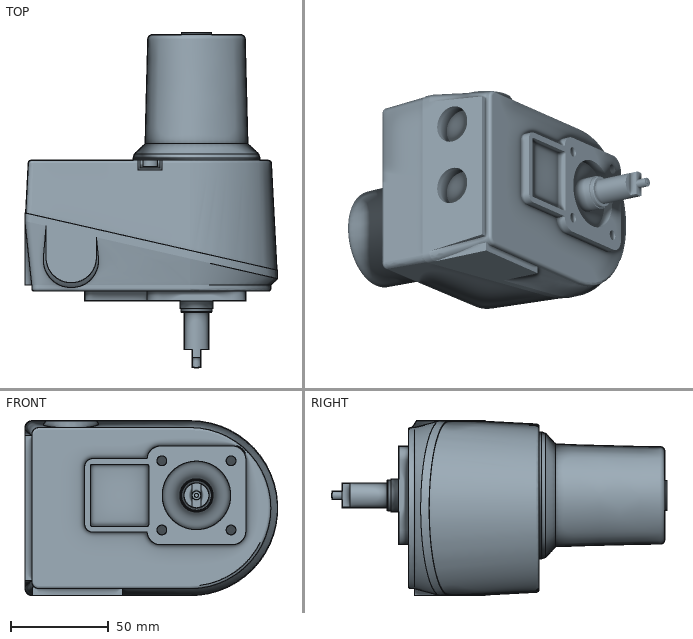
import cadquery as cq
import math


mid_z = -6.5
round_x = -3.17
half_height = 44.67
left_x = -87.6
corner_radius = 3.8

joint_y = 20.0
joint_slope = 12.8
band_depth = 4.3
joint_ledge = 0.3

rim_depth = 3.1
rim_inset = 3.51
rim_round = 1.4

cover_top = 66.9
cover_draft = 3
cover_round = 1.7
cover_corner = 2.7

plate_depth = 5.0
plate_size = 50.4
plate_corner = 6.9
plate_edge = 0.5
plate_hole_pitch = 35.3
plate_hole_diameter = 5.0
plate_hole_depth = 8.5
recess_diameter = 35.0
recess_depth = 5.0
arm_left = -57.1
arm_height = 37.5
arm_corner = 4.1
pocket_wall = 3.0
pocket_right = -24.3
pocket_corner = 1.0
pocket_floor_round = 0.9
pocket_depth = 4.5

entry_diameter = 18.7
entry_y = 21.6
entry_mid_z = 2.5
entry_pitch = 33.0
entry_depth = 8.5
entry_pad_half_top = 37.0
entry_pad_half_joint = 40.5
entry_pad_depth = 6.9

tongue_pad_x = -64.0
tongue_pad_y = 17.1
tongue_pad_radius = 12.9
tongue_pad_flare = 35
tongue_pad_depth = 4.3
lower_pad_left = -83.8
lower_pad_right = -37.7

notch_x = -23.7
notch_width = 12.2
notch_length = 5.0
notch_depth = 2.0
notch_step = 1.0
inner_notch_length = 4.1
inner_notch_depth = 4.3
screw_head_diameter = 7.5
screw_head_length = 3.3
screw_head_sink = 4.6

knob_flange_diameter = 64.8
knob_flange_edge = 68.0
knob_flange_top = 70.1
knob_flange_top_radius = 31.7
knob_cone_top = 75.3
knob_barrel_bottom = 77.3
knob_foot_radius = 26.2
knob_top_radius = 24.9
knob_top = 131.0
knob_round = 2.4
knob_disc_diameter = 15.5

collar_diameter = 17.0
collar_step_diameter = 16.0
collar_step_y = -8.7
collar_end = -10.8
collar_chamfer = 0.3
shaft_diameter = 12.7
shaft_end = -29.8
tongue_thickness = 4.5
tongue_end = -33.8
pin_diameter = 4.5
pin_end = -39.0
tip_diameter = 2.0

tip_end = -39.3
overall_length = 171.5
disc_top = tip_end + overall_length


def plane_at(y):
    """Sketch plane at the given Y: local x is X, local y is Z, and extrusion runs toward -Y."""
    return cq.Workplane("XZ", origin=(0, y, 0))


def cylinder_y(diameter, start_y, end_y, x=0, z=0):
    return plane_at(start_y).center(x, z).circle(diameter / 2).extrude(start_y - end_y)


def draw_outline(y, left, half_left, half_round, tip, corner):
    """Housing outline: rounded left corners, two straight sides and a round right end."""
    bevel = corner * (1 - math.sqrt(0.5))
    top = mid_z + half_left
    bottom = mid_z - half_left
    return (
        plane_at(y)
        .moveTo(left + corner, top)
        .lineTo(round_x, mid_z + half_round)
        .threePointArc((tip, mid_z), (round_x, mid_z - half_round))
        .lineTo(left + corner, bottom)
        .threePointArc((left + bevel, bottom + bevel), (left, bottom + corner))
        .lineTo(left, top - corner)
        .threePointArc((left + bevel, top - bevel), (left + corner, top))
        .close()
    )


def joint_height(x):
    """Y of the slanted joint at the given X."""
    return joint_y - x * math.tan(math.radians(joint_slope))


def behind_joint(shift=0.0):
    """Large block filling everything behind the slanted joint plane moved by shift along Y."""
    reach = 171.5
    return (
        cq.Workplane("XY", origin=(0, 0, mid_z))
        .moveTo(-reach, joint_height(-reach) + shift)
        .lineTo(reach, joint_height(reach) + shift)
        .lineTo(reach, 2 * reach)
        .lineTo(-reach, 2 * reach)
        .close()
        .extrude(reach / 2, both=True)
    )


def make_base():
    """Base: straight band below the joint, tapered wall, then a rounded front rim."""
    rear_y = joint_height(left_x)
    outline = draw_outline(rear_y, left_x, half_height, half_height, round_x + half_height, corner_radius)
    prism = outline.extrude(rear_y + band_depth)
    band = prism.cut(behind_joint()).intersect(behind_joint(-band_depth))
    angle = math.radians(joint_slope)
    joint_normal = cq.Vector(math.sin(angle), math.cos(angle), 0)
    band_front = cq.selectors.DirectionMinMaxSelector(joint_normal, False)
    band_wire = band.faces(band_front).val().outerWire()

    rim_half = half_height - rim_inset
    rim = draw_outline(rim_depth, left_x + rim_inset, rim_half, rim_half,
                       round_x + rim_half, corner_radius)
    taper = cq.Workplane(cq.Solid.makeLoft([band_wire, rim.val()], True))
    rim_solid = rim.extrude(rim_depth).faces("<Y").edges().fillet(rim_round)
    return band.union(taper).union(rim_solid)


def make_cover():
    """Cover whose walls draft inward from the slanted joint."""
    draft = math.tan(math.radians(cover_draft))
    joint_half = half_height - joint_ledge
    left = left_x + joint_ledge
    tip = round_x + joint_half

    def cover_outline(y, corner):
        def inset(x):
            return (y - joint_height(x)) * draft

        half_left = joint_half - inset(left)
        half_round = joint_half - inset(round_x)
        return draw_outline(y, left + inset(left), half_left, half_round, tip - inset(tip), corner).val()

    front = cover_outline(0, corner_radius)
    rear = cover_outline(cover_top, cover_corner)
    block = cq.Workplane(cq.Solid.makeLoft([front, rear], True))
    block = block.faces(">Y").edges().fillet(cover_round)
    return block.intersect(behind_joint())


def make_knob():
    foot_radius = knob_flange_diameter / 2
    body = (
        cq.Workplane("XY")
        .moveTo(0, cover_top)
        .lineTo(foot_radius, cover_top)
        .lineTo(foot_radius, knob_flange_edge)
        .lineTo(knob_flange_top_radius, knob_flange_top)
        .lineTo(knob_foot_radius, knob_cone_top)
        .lineTo(knob_foot_radius, knob_barrel_bottom)
        .lineTo(knob_top_radius, knob_top)
        .lineTo(0, knob_top)
        .close()
        .revolve(360, (0, 0, 0), (0, 1, 0))
        .faces(">Y").edges().fillet(knob_round)
    )
    return body.union(cylinder_y(knob_disc_diameter, disc_top, knob_top))


def make_plate():
    square = plane_at(0).rect(plate_size, plate_size).extrude(plate_depth).edges("|Y").fillet(plate_corner)
    arm = (
        plane_at(0).center(arm_left / 2, 0).rect(-arm_left, arm_height).extrude(plate_depth)
        .edges("|Y and <X").fillet(arm_corner)
    )
    plate = square.union(arm)
    foot = plate.faces(">Y").wires().toPending().offset2D(plate_edge).extrude(-plate_edge, taper=45)
    return plate.faces("<Y").edges().fillet(plate_edge).union(foot)


def make_pocket():
    left = arm_left + pocket_wall
    return (
        plane_at(-plate_depth + pocket_depth)
        .center((left + pocket_right) / 2, 0)
        .rect(pocket_right - left, arm_height - 2 * pocket_wall)
        .extrude(pocket_depth)
        .edges("|Y").fillet(pocket_corner)
        .faces(">Y").edges().fillet(pocket_floor_round)
    )


def make_plate_holes():
    return (
        plane_at(-plate_depth + plate_hole_depth)
        .rect(plate_hole_pitch, plate_hole_pitch, forConstruction=True)
        .vertices()
        .circle(plate_hole_diameter / 2)
        .extrude(plate_hole_depth)
    )


def make_entry_pad():
    joint = joint_height(left_x)
    return (
        cq.Workplane("YZ", origin=(left_x, 0, mid_z))
        .moveTo(rim_depth, -entry_pad_half_top)
        .lineTo(joint, -entry_pad_half_joint)
        .lineTo(joint, entry_pad_half_joint)
        .lineTo(rim_depth, entry_pad_half_top)
        .close()
        .extrude(entry_pad_depth)
        .cut(behind_joint())
    )


def make_entries():
    return (
        cq.Workplane("YZ", origin=(left_x, entry_y, entry_mid_z))
        .pushPoints([(0, -entry_pitch / 2), (0, entry_pitch / 2)])
        .circle(entry_diameter / 2)
        .extrude(entry_depth)
    )


def make_tongue_pad():
    """Round-ended pad on the upper wall, flaring toward the wall, flush with the joint."""
    rear = joint_height(left_x)
    r = tongue_pad_radius
    return (
        cq.Workplane("XY", origin=(tongue_pad_x, tongue_pad_y, mid_z + half_height))
        .moveTo(-r, rear)
        .lineTo(-r, 0)
        .threePointArc((0, -r), (r, 0))
        .lineTo(r, rear)
        .close()
        .extrude(-tongue_pad_depth, taper=-tongue_pad_flare)
        .cut(behind_joint())
    )


def make_lower_pad():
    return (
        cq.Workplane("XY", origin=(0, 0, mid_z - half_height))
        .moveTo(lower_pad_left, rim_depth)
        .lineTo(lower_pad_right, rim_depth)
        .lineTo(lower_pad_right, joint_height(lower_pad_right))
        .lineTo(lower_pad_left, joint_height(lower_pad_left))
        .close()
        .extrude(tongue_pad_depth)
    )


def cut_notch(cover):
    draft = math.tan(math.radians(cover_draft))
    wall_z = mid_z + half_height - joint_ledge - (cover_top - joint_height(notch_x)) * draft
    rear = plane_at(cover_top).center(notch_x, wall_z)
    notch = rear.rect(notch_width, 2 * notch_depth).extrude(notch_length)
    inner_width = notch_width - 2 * notch_step
    inner_notch = rear.rect(inner_width, 2 * inner_notch_depth).extrude(inner_notch_length)
    screw_head = cylinder_y(screw_head_diameter, cover_top, cover_top - screw_head_length,
                            notch_x, wall_z - screw_head_sink)
    return cover.cut(notch).cut(inner_notch).union(screw_head)


def make_housing():
    cover = cut_notch(make_cover())
    base = make_base().union(make_entry_pad()).union(make_tongue_pad()).union(make_lower_pad())
    housing = cover.union(base).union(make_knob()).union(make_plate())
    recess = cylinder_y(recess_diameter, recess_depth - plate_depth, -plate_depth)
    return housing.cut(recess).cut(make_pocket()).cut(make_plate_holes()).cut(make_entries())


def make_shaft():
    root_y = recess_depth - plate_depth
    collar = cylinder_y(collar_diameter, root_y, collar_step_y)
    collar_step = cylinder_y(collar_step_diameter, collar_step_y, collar_end)
    collar_step = collar_step.faces("<Y").chamfer(collar_chamfer)
    rod = cylinder_y(shaft_diameter, collar_end, tongue_end)
    tongue = plane_at(shaft_end).rect(tongue_thickness, shaft_diameter).extrude(shaft_end - tongue_end)
    rod = rod.cut(cylinder_y(2 * shaft_diameter, shaft_end, tongue_end).cut(tongue))
    pin = cylinder_y(pin_diameter, tongue_end, pin_end)
    tip = cylinder_y(tip_diameter, pin_end, tip_end)
    return collar.union(collar_step).union(rod).union(pin).union(tip)


housing = make_housing()
shaft = make_shaft()

result = cq.Compound.makeCompound([housing.val(), shaft.val()])